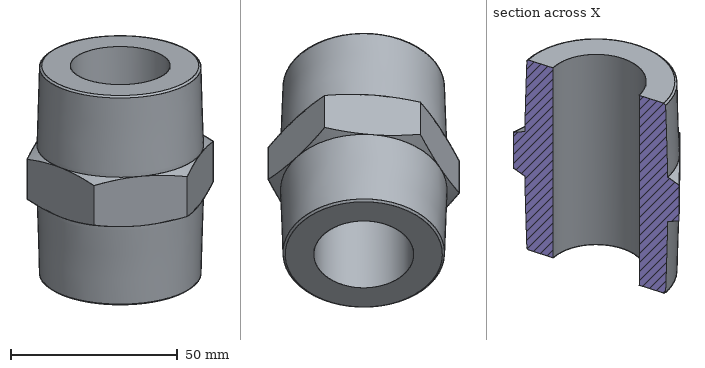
import cadquery as cq
import math

total_length = 68.0
across_flats = 50.0
hex_height = 16.05
bore_diameter = 30.0
base_diameter = 50.0
tip_diameter = 48.55
collar_height = 1.15
tip_chamfer_width = 0.7
tip_chamfer_height = 0.55
hex_chamfer_angle = 22.0

half_length = total_length / 2
half_hex = hex_height / 2
across_corners = across_flats / math.cos(math.radians(30))


def make_hexagon():
    """Hexagon with corners on the Y axis, both rims cut back by a cone."""
    flat_radius = across_flats / 2
    corner_radius = across_corners / 2
    corner_drop = (corner_radius - flat_radius) * math.tan(math.radians(hex_chamfer_angle))
    prism = (
        cq.Workplane("XY", origin=(0, 0, -half_hex))
        .polygon(6, across_corners)
        .extrude(hex_height)
        .rotate((0, 0, 0), (0, 0, 1), 90)
    )
    chamfer_envelope = (
        cq.Workplane("XZ")
        .moveTo(0, -half_hex)
        .lineTo(flat_radius, -half_hex)
        .lineTo(corner_radius, -half_hex + corner_drop)
        .lineTo(corner_radius, half_hex - corner_drop)
        .lineTo(flat_radius, half_hex)
        .lineTo(0, half_hex)
        .close()
        .revolve(360, (0, 0, 0), (0, 1, 0))
    )
    return prism.intersect(chamfer_envelope)


def make_upper_end():
    """Straight collar, taper and chamfered tip, from mid-height upwards."""
    base_radius = base_diameter / 2
    tip_radius = tip_diameter / 2
    return (
        cq.Workplane("XZ")
        .lineTo(base_radius, 0)
        .lineTo(base_radius, half_hex + collar_height)
        .lineTo(tip_radius, half_length - tip_chamfer_height)
        .lineTo(tip_radius - tip_chamfer_width, half_length)
        .lineTo(0, half_length)
        .close()
        .revolve(360, (0, 0, 0), (0, 1, 0))
    )


upper_end = make_upper_end()
lower_end = upper_end.mirror("XY")
bore = cq.Workplane("XY", origin=(0, 0, -half_length)).circle(bore_diameter / 2).extrude(total_length)

result = make_hexagon().union(upper_end).union(lower_end).cut(bore)